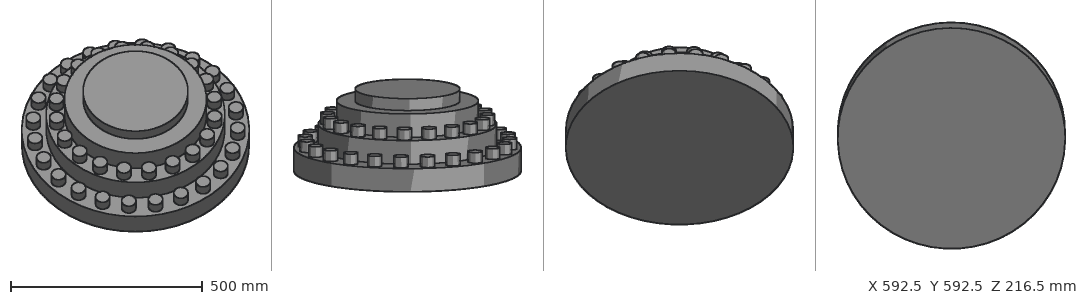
import cadquery as cq

BASE_DIAMETER = 592.5
BASE_HEIGHT = 61.5
MIDDLE_DIAMETER = 465.0
MIDDLE_HEIGHT = 62.0
UPPER_DIAMETER = 370.0
UPPER_HEIGHT = 61.5
CAP_DIAMETER = 273.0
CAP_HEIGHT = 31.5

TIERS = [
    (BASE_DIAMETER, BASE_HEIGHT),
    (MIDDLE_DIAMETER, MIDDLE_HEIGHT),
    (UPPER_DIAMETER, UPPER_HEIGHT),
    (CAP_DIAMETER, CAP_HEIGHT),
]

STUD_DIAMETER = 37.5
STUD_HEIGHT = 28.0
OUTER_STUD_COUNT = 24
OUTER_STUD_CIRCLE_RADIUS = 266.5
OUTER_STUD_START_ANGLE = 0.0
INNER_STUD_COUNT = 20
INNER_STUD_CIRCLE_RADIUS = 208.0
INNER_STUD_START_ANGLE = 7.4
FULL_TURN = 360

BASE_TOP = BASE_HEIGHT
MIDDLE_TOP = BASE_TOP + MIDDLE_HEIGHT


def tier_stack():
    """Concentric discs, each standing on the one below."""
    stack = cq.Workplane("XY")
    for diameter, height in TIERS:
        stack = stack.circle(diameter / 2).extrude(height).faces(">Z").workplane()
    return stack


def stud_ring(seat_height, circle_radius, count, start_angle):
    """Evenly spaced round studs rising from a tier's top face."""
    return (
        cq.Workplane("XY")
        .workplane(offset=seat_height)
        .polarArray(circle_radius, start_angle, FULL_TURN, count)
        .circle(STUD_DIAMETER / 2)
        .extrude(STUD_HEIGHT)
    )


outer_studs = stud_ring(BASE_TOP, OUTER_STUD_CIRCLE_RADIUS, OUTER_STUD_COUNT, OUTER_STUD_START_ANGLE)
inner_studs = stud_ring(MIDDLE_TOP, INNER_STUD_CIRCLE_RADIUS, INNER_STUD_COUNT, INNER_STUD_START_ANGLE)

result = tier_stack().union(outer_studs).union(inner_studs)